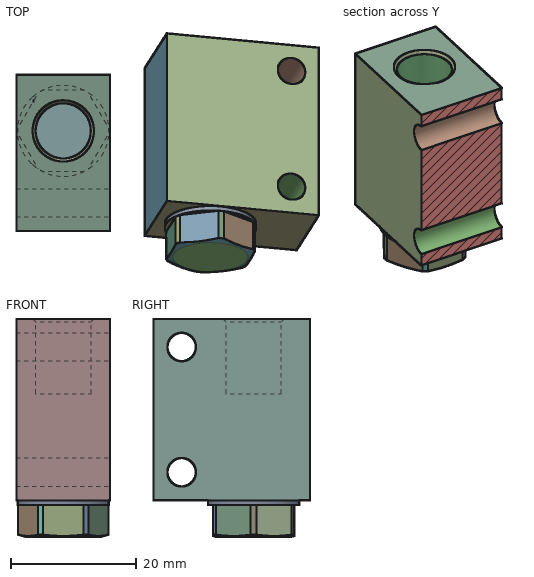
import cadquery as cq
import math

BLOCK_WIDTH = 15.0
BLOCK_DEPTH = 25.0
BLOCK_HEIGHT = 29.0

AXIS_TO_BACK = 9.0
AXIS_X = BLOCK_WIDTH / 2
AXIS_Y = BLOCK_DEPTH - AXIS_TO_BACK

PORT_DIAMETER = 8.8
PORT_MOUTH_DIAMETER = 9.8
PORT_DEPTH = 12.0
PORT_CHAMFER = (PORT_MOUTH_DIAMETER - PORT_DIAMETER) / 2

CROSS_HOLE_DIAMETER = 4.5
CROSS_HOLE_INSET = 4.5

PLUG_LENGTH = 5.8
FLANGE_HEIGHT = 0.75
FLANGE_DIAMETER = 14.6
HEX_LENGTH = PLUG_LENGTH - FLANGE_HEIGHT
HEX_ACROSS_FLATS = 13.0
HEX_SIDES = 6
HEX_ACROSS_CORNERS = HEX_ACROSS_FLATS / math.cos(math.pi / HEX_SIDES)
HEX_TURNED_DIAMETER = 14.5
HEX_END_DIAMETER = 12.0
HEX_CHAMFER_ANGLE = 15.0


def make_block():
    """Plain rectangular block with one corner at the origin."""
    return cq.Workplane("XY").box(BLOCK_WIDTH, BLOCK_DEPTH, BLOCK_HEIGHT, centered=False)


def make_port():
    """Blind bore with a 45 degree countersunk mouth, turned about the port axis."""
    bore_radius = PORT_DIAMETER / 2
    profile = (
        cq.Workplane("XZ")
        .moveTo(0, 0)
        .lineTo(PORT_MOUTH_DIAMETER / 2, 0)
        .lineTo(bore_radius, -PORT_CHAMFER)
        .lineTo(bore_radius, -PORT_DEPTH)
        .lineTo(0, -PORT_DEPTH)
        .close()
    )
    return profile.revolve(360, (0, 0), (0, 1)).translate((AXIS_X, AXIS_Y, BLOCK_HEIGHT))


def make_cross_holes():
    """Two holes through the full block width, one near the bottom and one near the top."""
    centres = [
        (CROSS_HOLE_INSET, CROSS_HOLE_INSET),
        (CROSS_HOLE_INSET, BLOCK_HEIGHT - CROSS_HOLE_INSET),
    ]
    return (
        cq.Workplane("YZ")
        .pushPoints(centres)
        .circle(CROSS_HOLE_DIAMETER / 2)
        .extrude(BLOCK_WIDTH)
    )


def make_hex_head():
    """Hexagon with corners along X, turned round at the corners and coned at the end."""
    hexagon = cq.Workplane("XY").polygon(HEX_SIDES, HEX_ACROSS_CORNERS).extrude(-HEX_LENGTH)
    turned_radius = HEX_TURNED_DIAMETER / 2
    end_radius = HEX_END_DIAMETER / 2
    cone_height = (turned_radius - end_radius) * math.tan(math.radians(HEX_CHAMFER_ANGLE))
    turned_envelope = (
        cq.Workplane("XZ")
        .moveTo(0, 0)
        .lineTo(turned_radius, 0)
        .lineTo(turned_radius, cone_height - HEX_LENGTH)
        .lineTo(end_radius, -HEX_LENGTH)
        .lineTo(0, -HEX_LENGTH)
        .close()
        .revolve(360, (0, 0), (0, 1))
    )
    return hexagon.intersect(turned_envelope)


def make_plug():
    """Flange against the underside of the block, with the hex head below it."""
    flange = cq.Workplane("XY").circle(FLANGE_DIAMETER / 2).extrude(-FLANGE_HEIGHT)
    head = make_hex_head().translate((0, 0, -FLANGE_HEIGHT))
    return flange.union(head).translate((AXIS_X, AXIS_Y, 0))


result = make_block().union(make_plug()).cut(make_port()).cut(make_cross_holes())